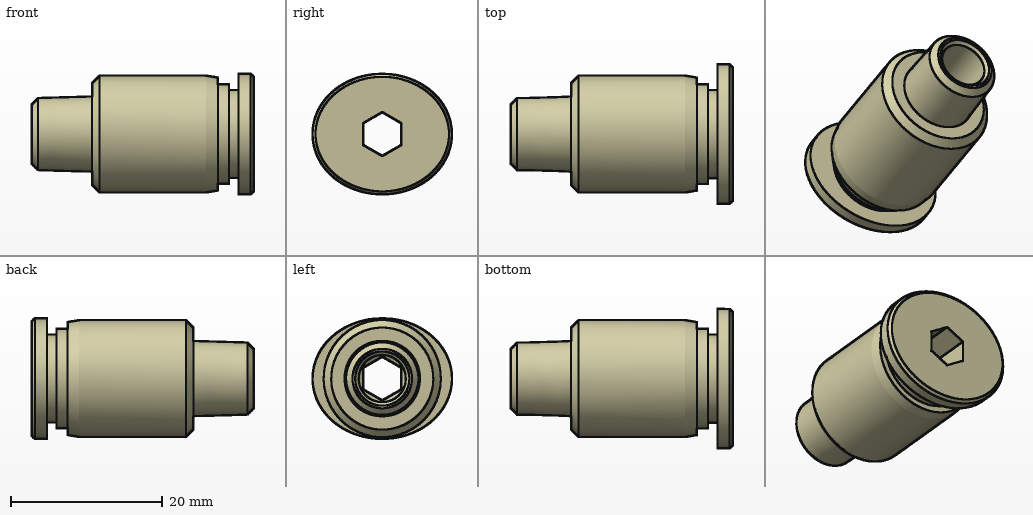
import cadquery as cq
import math

tip_chamfer_end = 0.85
body_start = 8.0
body_chamfer = 1.0
body_taper_start = 23.08
body_end = 24.65
collar_end = 26.15
flange_start = 27.37
length = 29.4

tip_radius = 3.95
shank_tip_radius = 4.8
shank_root_radius = 5.0
body_radius = 7.75
body_taper_radius = 7.5
collar_radius = 6.62
neck_radius = 5.85

flange_width = 18.5
flange_height = 16.0
flange_chamfer = 0.4

bore_radius = 3.12
bore_mouth_radius = 3.6
mouth_chamfer = bore_mouth_radius - bore_radius
bore_depth = body_start
drill_half_angle = math.radians(60)
hex_across_flats = 5.0


def make_turned_body():
    """Tapered shank, main body, collar and neck, revolved about X."""
    outline = [
        (0, 0),
        (0, tip_radius),
        (tip_chamfer_end, shank_tip_radius),
        (body_start, shank_root_radius),
        (body_start, body_radius - body_chamfer),
        (body_start + body_chamfer, body_radius),
        (body_taper_start, body_radius),
        (body_end, body_taper_radius),
        (body_end, collar_radius),
        (collar_end, collar_radius),
        (collar_end, neck_radius),
        (flange_start, neck_radius),
        (flange_start, 0),
    ]
    return cq.Workplane("XZ").polyline(outline).close().revolve(360, (0, 0), (1, 0))


def make_flange():
    """Oval plate with a chamfered outer rim, longer along Y."""
    plate = (
        cq.Workplane("YZ", origin=(flange_start, 0, 0))
        .ellipse(flange_width / 2, flange_height / 2)
        .extrude(length - flange_start)
    )
    return plate.faces(">X").chamfer(flange_chamfer)


def make_bore():
    """Chamfered round bore ending in a drill point."""
    drill_point = bore_depth + bore_radius / math.tan(drill_half_angle)
    outline = [
        (0, 0),
        (0, bore_mouth_radius),
        (mouth_chamfer, bore_radius),
        (bore_depth, bore_radius),
        (drill_point, 0),
    ]
    return cq.Workplane("XZ").polyline(outline).close().revolve(360, (0, 0), (1, 0))


def make_hex_socket():
    """Through hexagon with two corners on the Z axis."""
    across_corners = hex_across_flats / math.cos(math.pi / 6)
    hexagon = cq.Workplane("YZ").polygon(6, across_corners).extrude(length)
    return hexagon.rotate((0, 0, 0), (1, 0, 0), 90)


result = (
    make_turned_body()
    .union(make_flange())
    .cut(make_bore().union(make_hex_socket()))
)